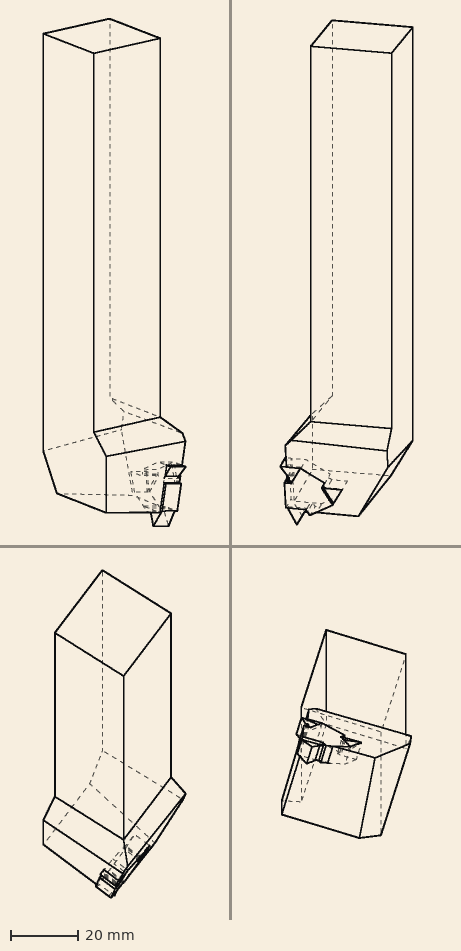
import cadquery as cq
import math

total_height = 151.0
shank_size = 25.0
neck_z = 33.0
head_width = 31.0
head_depth = 30.2
chamfer_z = 21.0
chamfer_angle = 60.0
floor_z = 9.4
pitch = 10.0
roll = 1.3
margin = 15.1

insert_x = 25.8
insert_z = 10.7
inscribed_radius = 6.6
insert_thickness = 5.7
tip_x = 3.5
tip_z = -10.9
tooth_count = 3
flank_slope = math.tan(math.radians(60.0))
notch_depth = 1.4
notch_z = 3.0
groove_length = 5.5

pitch_slope = math.tan(math.radians(pitch))
roll_slope = math.tan(math.radians(roll))

shoulder_z = neck_z - (head_depth - shank_size)
insert_y = head_depth - insert_x * roll_slope - (shoulder_z - insert_z) * pitch_slope


def turn(point, angle):
    """Turn a point (x, z) about the insert centre."""
    x, z = point
    c = math.cos(math.radians(angle))
    s = math.sin(math.radians(angle))
    return (x * c - z * s, x * s + z * c)


def roll_about_z(body):
    return body.rotate((0, 0, 0), (0, 0, 1), -roll)


def place_insert(body):
    """Move a body from the insert's own frame (rake face on Y = 0) to its seat."""
    pitched = body.rotate((0, 0, 0), (1, 0, 0), -pitch)
    return roll_about_z(pitched).translate((insert_x, insert_y, insert_z))


def make_head():
    run = chamfer_z / math.tan(math.radians(chamfer_angle))
    front = (
        cq.Workplane("XZ", origin=(0, head_depth + margin, 0))
        .polyline([
            (-margin, chamfer_z + margin * flank_slope),
            (run, 0),
            (head_width, 0),
            (head_width, neck_z + margin),
            (-margin, neck_z + margin),
        ])
        .close()
        .extrude(head_depth + 2 * margin)
    )
    corner_y = ((head_depth - (shoulder_z - floor_z) * pitch_slope)
                / (1 + pitch_slope ** 2))
    top_z = neck_z + margin
    side = (
        cq.Workplane("YZ", origin=(-margin, 0, 0))
        .polyline([
            (-margin, floor_z + margin * pitch_slope),
            (corner_y, floor_z - corner_y * pitch_slope),
            (head_depth + (top_z - shoulder_z) * pitch_slope, top_z),
            (-margin, top_z),
        ])
        .close()
        .extrude(head_width + 2 * margin)
    )
    head = roll_about_z(front.intersect(side))
    spread = shank_size + neck_z
    flare = (
        cq.Workplane("XY")
        .polyline([(0, 0), (spread, 0), (spread, spread), (0, spread)])
        .close()
        .workplane(offset=neck_z)
        .polyline([(0, 0), (shank_size, 0), (shank_size, shank_size), (0, shank_size)])
        .close()
        .loft(ruled=True)
    )
    return head.intersect(flare)


def insert_outline():
    """Points of the insert: one straight side, notch and tooth, repeated by turning."""
    upper_tip = turn((tip_x, tip_z), 360.0 / tooth_count)
    side_start_z = tip_z + (inscribed_radius - tip_x) * flank_slope
    notch_x = inscribed_radius - notch_depth
    flank_end_z = upper_tip[1] - (upper_tip[0] - notch_x) * flank_slope
    side = [
        (inscribed_radius, side_start_z),
        (inscribed_radius, notch_z),
        (notch_x, notch_z),
        (notch_x, flank_end_z),
        upper_tip,
    ]
    return [turn(p, i * 360.0 / tooth_count) for i in range(tooth_count) for p in side]


def make_insert_blank(rake_y, thickness):
    return (
        cq.Workplane("XZ", origin=(0, rake_y, 0))
        .polyline(insert_outline())
        .close()
        .extrude(thickness)
    )


def make_chip_groove():
    """Wedge that sinks into the rake face behind the lower tooth tip."""
    width = 2 * (inscribed_radius - tip_x)
    return (
        cq.Workplane("YZ", origin=(tip_x - width / 2, 0, 0))
        .polyline([
            (0, tip_z),
            (0, tip_z + groove_length),
            (-groove_length * pitch_slope, tip_z + groove_length),
        ])
        .close()
        .extrude(width)
    )


def make_insert():
    insert = make_insert_blank(0, insert_thickness)
    for i in range(tooth_count):
        groove = make_chip_groove().rotate((0, 0, 0), (0, 1, 0), i * 360.0 / tooth_count)
        insert = insert.cut(groove)
    return place_insert(insert)


def make_holder():
    shank = cq.Workplane("XY", origin=(0, 0, neck_z)).box(
        shank_size, shank_size, total_height - neck_z, centered=False
    )
    pocket = place_insert(make_insert_blank(margin, margin + insert_thickness))
    return shank.union(make_head()).cut(pocket)


holder = make_holder()
insert = make_insert()
result = cq.Compound.makeCompound([*holder.solids().vals(), *insert.solids().vals()])